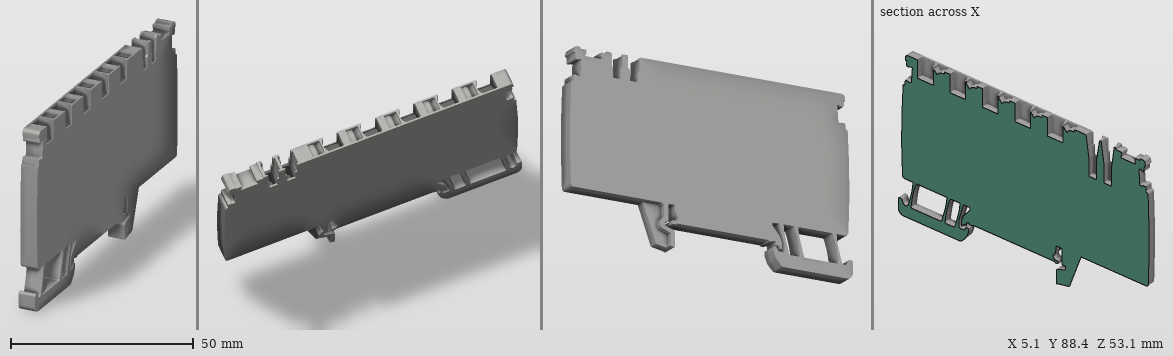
import cadquery as cq
import math


THICKNESS = 5.1
LENGTH = 88.35
HEIGHT = 53.13
HALF_LENGTH = LENGTH / 2
HALF_THICKNESS = THICKNESS / 2

BODY_BOTTOM = 12.34
JOINT_OVERLAP = 0.5
JOINT_TOP = BODY_BOTTOM + JOINT_OVERLAP
RAIL_FACE = 7.04
LABEL_STEP = 52.57
SLOT_STEP = 49.06
SLOT_FLOOR = 45.87
FOOT_FLOOR = 3.82

BACK_FLANK_TOP = 42.47
FRONT_FLANK_TOP = 42.9
FLANK_MIDDLE = 26.0
FLANK_BOTTOM = 13.6
FRONT_FLANK_BULGE = 43.05

CONTACT_COUNT = 5
CONTACT_PITCH = 11.4
POCKET_LEFT = -2.04
TEST_RIGHT = 2.04
TEST_BACK = 17.7
TEST_LENGTH = 3.6
TEST_SHELF_LENGTH = 1.3
TEST_SHELF_DEPTH = 0.8
TEST_STEP_LENGTH = 0.55
TEST_STEP_DEPTH = 1.1
TEST_GROOVE_OFFSET = 2.5
TEST_GROOVE_DEPTH = 2.0
WIRE_BACK = 13.7
WIRE_FRONT = 8.38
WIRE_RIGHT = 2.25
WIRE_CROWN_RISE = 0.8
WIRE_CORNER = 0.35
WIRE_DEPTH = 6.0
WIRE_SILL = 0.5

BACK_SLOT = (30.77, 28.35)
BACK_SLOT_FLARE = (31.75, 27.3)
FRONT_SLOT = (25.44, 23.0)
FRONT_SLOT_FLARE = (26.6, 22.0)
RECESS_LEFT = -2.04
RECESS_RIGHT = 1.8
SLOT_POCKET_FLOOR = 40.0

STRUT_BEND = 18.0

CLIP_WEB_BACKSET = 2.2


def rounded_outline(points):
    """Closed YZ outline from (y, z) or (y, z, corner radius) points."""
    path = None
    count = len(points)
    for i, corner in enumerate(points):
        here = cq.Vector(corner[0], corner[1])
        radius = corner[2] if len(corner) == 3 else 0
        stops = [here]
        if radius:
            before = cq.Vector(*points[i - 1][:2])
            after = cq.Vector(*points[(i + 1) % count][:2])
            to_before = (before - here).normalized()
            to_after = (after - here).normalized()
            half_angle = to_before.getAngle(to_after) / 2
            bisector = (to_before + to_after).normalized()
            tangent = radius / math.tan(half_angle)
            to_arc = radius / math.sin(half_angle) - radius
            stops = [here + to_before * tangent, here + bisector * to_arc, here + to_after * tangent]
        start = (stops[0].x, stops[0].y)
        path = cq.Workplane("YZ").moveTo(*start) if path is None else path.lineTo(*start)
        if radius:
            path = path.threePointArc((stops[1].x, stops[1].y), (stops[2].x, stops[2].y))
    return path.close()


def slab(points, x_from=-HALF_THICKNESS, x_to=HALF_THICKNESS):
    """Rounded YZ outline extruded between two X positions."""
    return rounded_outline(points).extrude(x_to - x_from).translate((x_from, 0, 0))


def flank(y_top, z_top, y_crest, y_bottom):
    """Circular segment that bulges out from one end of the plate."""
    return (
        cq.Workplane("YZ")
        .moveTo(y_top, z_top)
        .threePointArc((y_crest, FLANK_MIDDLE), (y_bottom, FLANK_BOTTOM))
        .close()
        .extrude(HALF_THICKNESS, both=True)
    )


def body():
    back_top = 43.81
    back_bottom = 43.9
    front_top = -42.5
    front_bottom = -42.75
    back_slot_y0, back_slot_y1 = BACK_SLOT
    front_slot_y0, front_slot_y1 = FRONT_SLOT
    marker_seat = [
        (back_top, BACK_FLANK_TOP), (43.5, 42.95), (43.01, 43.14),
        (43.01, 44.8), (41.9, 44.8), (41.8, 44.54), (40.88, 44.54), (40.6, 49.58),
        (41.3, 49.58), (41.45, 49.35), (42.4, 49.35, 0.2), (42.48, 51.13), (43.1, 51.5, 0.15),
        (42.75, 52.2), (42.75, HEIGHT, 0.75), (40.88, HEIGHT),
        (40.88, LABEL_STEP), (39.0, LABEL_STEP), (39.0, 51.5), (39.29, 51.2), (39.29, 50.68),
        (34.23, 50.68), (34.23, 51.2), (34.54, 51.5), (34.54, LABEL_STEP, 0.3),
        (32.56, LABEL_STEP), (32.56, HEIGHT),
    ]
    jumper_slots = [
        (31.05, HEIGHT, 0.65), (31.05, SLOT_STEP), (back_slot_y0, SLOT_STEP), (back_slot_y0, SLOT_FLOOR),
        (back_slot_y1, SLOT_FLOOR), (back_slot_y1, SLOT_STEP), (27.84, SLOT_STEP), (27.84, HEIGHT),
        (25.99, HEIGHT), (25.99, 49.58), (front_slot_y0, SLOT_STEP), (front_slot_y0, SLOT_FLOOR),
        (front_slot_y1, SLOT_FLOOR), (front_slot_y1, SLOT_STEP), (22.47, SLOT_STEP), (22.47, HEIGHT, 0.35),
    ]
    front_end = [
        (-41.73, HEIGHT, 1.2), (-41.73, 51.18), (-41.2, 51.18), (-41.4, 49.84),
        (-41.1, 49.4), (-40.3, 49.4), (-40.1, 49.65), (-39.26, 49.65), (-39.6, 44.75, 0.2),
        (-40.4, 44.55), (-40.7, 44.8), (-41.7, 44.8), (-41.96, FRONT_FLANK_TOP),
        (front_top, FRONT_FLANK_TOP),
    ]
    rail_block = [
        (front_bottom, FLANK_BOTTOM), (front_bottom, BODY_BOTTOM, 1.0),
        (-19.0, BODY_BOTTOM), (-19.0, 11.5, 0.8), (-21.3, 8.8, 1.0), (-22.04, 6.8), (-22.04, 5.15),
        (-21.45, 5.15), (-21.2, 5.97, 0.4), (-20.11, 5.97), (-20.11, RAIL_FACE),
        (-19.3, RAIL_FACE), (-19.1, 6.75), (-18.1, 6.75), (-17.8, RAIL_FACE),
        (10.97, RAIL_FACE), (10.97, 6.75), (12.19, 6.75), (12.19, 7.79), (10.97, 7.79),
        (10.46, 8.3), (10.46, 8.97), (11.03, 9.64), (11.37, 11.0), (11.37, BODY_BOTTOM),
        (back_bottom, BODY_BOTTOM, 0.9), (back_bottom, FLANK_BOTTOM),
    ]
    plate = slab(marker_seat + jumper_slots + front_end + rail_block)
    plate = plate.union(flank(back_top, BACK_FLANK_TOP, HALF_LENGTH, back_bottom))
    return plate.union(flank(front_top, FRONT_FLANK_TOP, -FRONT_FLANK_BULGE, front_bottom))


def rail_foot():
    front = -HALF_LENGTH
    outline = [
        (-19.33, 5.42), (-19.33, 4.31), (-20.1, 2.1, 3.0), (-22.1, 0, 1.0), (front, 0, 1.9),
        (front, 5.55, 0.65), (-42.9, 5.55, 0.45), (-42.3, 4.1, 0.5), (-41.6, 3.7, 0.7),
        (-40.75, 4.1, 0.7), (-39.3, 9.6, STRUT_BEND), (-39.0, JOINT_TOP),
        (-20.9, JOINT_TOP), (-21.2, BODY_BOTTOM, 0.5), (-22.75, 6.7), (-22.75, 4.3, 0.5),
        (-21.0, 4.3, 0.8), (-20.35, 5.2), (-20.2, 5.85), (-20.0, 5.42),
    ]
    narrow_window = [
        (-22.5, BODY_BOTTOM), (-25.8, BODY_BOTTOM, 0.5), (-27.0, 8.4, STRUT_BEND),
        (-27.65, FOOT_FLOOR, 0.4), (-24.35, FOOT_FLOOR, 0.4), (-22.8, 9.6, STRUT_BEND),
    ]
    wide_window = [
        (-27.1, BODY_BOTTOM), (-37.75, BODY_BOTTOM, 0.5), (-38.95, 8.6, STRUT_BEND),
        (-39.6, FOOT_FLOOR, 0.4), (-28.95, FOOT_FLOOR, 0.5), (-27.4, 9.6, STRUT_BEND),
    ]
    return slab(outline).cut(slab(narrow_window)).cut(slab(wide_window))


def spring_clip():
    lever_tip = (12.92, 0.4)
    rail_side = [
        (11.35, 0, 0.3), (11.35, 4.9, 1.0), (14.52, 5.9), (14.52, 7.0), (13.63, 7.08),
        (13.45, 7.3), (13.45, JOINT_TOP),
    ]
    rib_back = [
        (15.5, JOINT_TOP), (15.5, BODY_BOTTOM), (14.78, 11.74), (14.78, 8.3), (15.2, 8.1),
        (16.1, 7.08), (16.1, 5.86), (15.63, 5.15), (12.68, 3.95), (12.68, 1.4), lever_tip,
    ]
    web = [lever_tip, (16.1, 0.95, 0.6), (20.2, BODY_BOTTOM), (20.2, JOINT_TOP)]
    rib = slab(rail_side + rib_back)
    return rib.union(slab(web + rib_back[:-1], x_from=-HALF_THICKNESS + CLIP_WEB_BACKSET))


def slot_recess(slot, flare):
    """Recess inside a jumper slot: flared above the slot floor, straight below it."""
    back_floor, front_floor = slot
    back_top, front_top = flare
    outline = [
        (back_top, HEIGHT), (back_floor, SLOT_FLOOR), (back_floor, SLOT_POCKET_FLOOR),
        (front_floor, SLOT_POCKET_FLOOR), (front_floor, SLOT_FLOOR), (front_top, HEIGHT),
    ]
    return slab(outline, RECESS_LEFT, RECESS_RIGHT)


def test_pocket(back):
    """Shallow pocket with a shelf at +Y, then a narrow step and a V groove."""
    shelf = HEIGHT - TEST_SHELF_DEPTH
    step = HEIGHT - TEST_STEP_DEPTH
    shelf_end = back - TEST_SHELF_LENGTH
    front = back - TEST_LENGTH
    outline = [
        (back, HEIGHT), (back, shelf), (shelf_end, shelf), (shelf_end, step),
        (shelf_end - TEST_STEP_LENGTH, step),
        (back - TEST_GROOVE_OFFSET, HEIGHT - TEST_GROOVE_DEPTH), (front, shelf), (front, HEIGHT),
    ]
    return slab(outline, POCKET_LEFT, TEST_RIGHT)


def wire_funnel(shift):
    """Arched pocket for a conductor, open to the +X side above a low sill."""
    back = WIRE_BACK + shift
    front = WIRE_FRONT + shift
    shoulder = back - WIRE_CROWN_RISE
    middle = (POCKET_LEFT + WIRE_RIGHT) / 2
    floor = HEIGHT - WIRE_DEPTH
    pocket = (
        cq.Workplane("XY", origin=(0, 0, floor))
        .moveTo(POCKET_LEFT, front)
        .lineTo(WIRE_RIGHT, front)
        .lineTo(WIRE_RIGHT, shoulder)
        .threePointArc((middle, back), (POCKET_LEFT, shoulder))
        .close()
        .extrude(WIRE_DEPTH)
    )
    pocket = pocket.edges("|Z and <Y").fillet(WIRE_CORNER)
    opening = cq.Workplane("XY").box(
        HALF_THICKNESS - middle, shoulder - front - WIRE_CORNER, WIRE_DEPTH - WIRE_SILL, centered=False
    )
    return pocket.union(opening.translate((middle, front + WIRE_CORNER, floor + WIRE_SILL)))


result = body().union(rail_foot()).union(spring_clip())
result = result.cut(slot_recess(BACK_SLOT, BACK_SLOT_FLARE))
result = result.cut(slot_recess(FRONT_SLOT, FRONT_SLOT_FLARE))
for contact in range(CONTACT_COUNT):
    offset = -contact * CONTACT_PITCH
    result = result.cut(test_pocket(TEST_BACK + offset))
    result = result.cut(wire_funnel(offset))